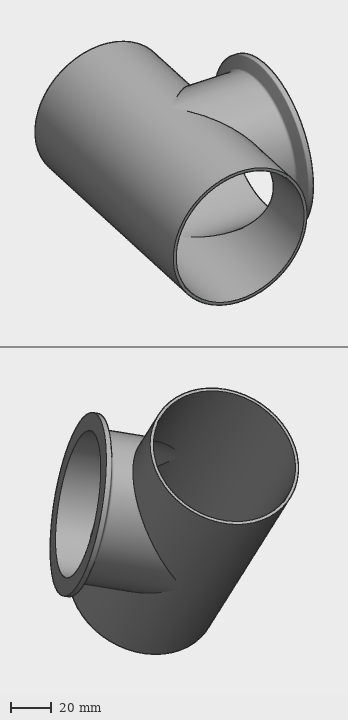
import cadquery as cq
import math

run_length = 131.8
tube_diameter = 76.2
bore_diameter = 72.9
branch_reach = 54.0

flange_diameter = 90.9
rim_thickness = 2.8
cone_angle = 20.0
rim_edge_radius = 0.7
neck_radius = 1.0

cone_depth = (flange_diameter - tube_diameter) / 2 * math.tan(math.radians(cone_angle))
rim_y = branch_reach - rim_thickness
neck_y = rim_y - cone_depth


def run_cylinder(diameter):
    """Cylinder along X, centred on the origin."""
    return cq.Workplane("YZ").circle(diameter / 2).extrude(run_length / 2, both=True)


def branch_cylinder(diameter):
    """Cylinder from the run axis to the flange face."""
    return cq.Workplane("XZ").circle(diameter / 2).extrude(-branch_reach)


def flanged_branch():
    """Solid branch with its conical-backed flange, revolved about Y."""
    branch = (
        cq.Workplane("XY")
        .lineTo(tube_diameter / 2, 0)
        .lineTo(tube_diameter / 2, neck_y)
        .lineTo(flange_diameter / 2, rim_y)
        .lineTo(flange_diameter / 2, branch_reach)
        .lineTo(0, branch_reach)
        .close()
        .revolve(360, (0, 0, 0), (0, 1, 0))
    )
    rim_corner = cq.selectors.NearestToPointSelector((0, rim_y, 0))
    neck_corner = cq.selectors.NearestToPointSelector((0, neck_y, 0))
    branch = branch.edges("%CIRCLE").edges(rim_corner).fillet(rim_edge_radius)
    return branch.edges("%CIRCLE").edges(neck_corner).fillet(neck_radius)


outside = run_cylinder(tube_diameter).union(flanged_branch())
bores = run_cylinder(bore_diameter).union(branch_cylinder(bore_diameter))
result = outside.cut(bores)